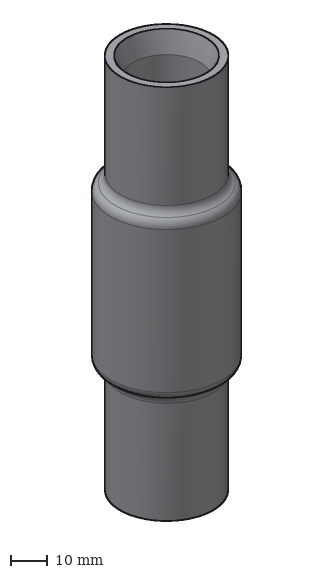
import cadquery as cq
import math

length = 138.0
body_radius = 41.0 / 2
end_radius = 33.8 / 2
end_length = 37.5

shoulder_arc_radius = 3.0
shoulder_step = body_radius - end_radius
arc_angle = math.acos(1 - shoulder_step / (2 * shoulder_arc_radius))
arc_height = shoulder_arc_radius * math.sin(arc_angle)

bore_radius = 24.4 / 2
mouth_radius = 28.7 / 2
mouth_depth = 6.9

half_length = length / 2
shoulder_outer = half_length - end_length
shoulder_middle = shoulder_outer - arc_height
shoulder_inner = shoulder_middle - arc_height
middle_radius = (body_radius + end_radius) / 2

arc_mid_rise = shoulder_arc_radius * math.sin(arc_angle / 2)
arc_mid_step = shoulder_arc_radius * (1 - math.cos(arc_angle / 2))
convex_mid = (body_radius - arc_mid_step, shoulder_inner + arc_mid_rise)
concave_mid = (end_radius + arc_mid_step, shoulder_outer - arc_mid_rise)


def below(point):
    """Mirror a (radius, height) point through the mid-plane."""
    radius, height = point
    return (radius, -height)


def make_wall_section():
    """Half section of the tube wall, in (radius, height) coordinates."""
    body_edge = (body_radius, shoulder_inner)
    inflection = (middle_radius, shoulder_middle)
    end_edge = (end_radius, shoulder_outer)
    outer_rim = (end_radius, half_length)
    inner_rim = (mouth_radius, half_length)
    bore_edge = (bore_radius, half_length - mouth_depth)
    return (
        cq.Workplane("XZ")
        .moveTo(*below(body_edge))
        .lineTo(*body_edge)
        .threePointArc(convex_mid, inflection)
        .threePointArc(concave_mid, end_edge)
        .lineTo(*outer_rim)
        .lineTo(*inner_rim)
        .lineTo(*bore_edge)
        .lineTo(*below(bore_edge))
        .lineTo(*below(inner_rim))
        .lineTo(*below(outer_rim))
        .lineTo(*below(end_edge))
        .threePointArc(below(concave_mid), below(inflection))
        .threePointArc(below(convex_mid), below(body_edge))
        .close()
    )


result = make_wall_section().revolve(360, (0, 0, 0), (0, 1, 0))